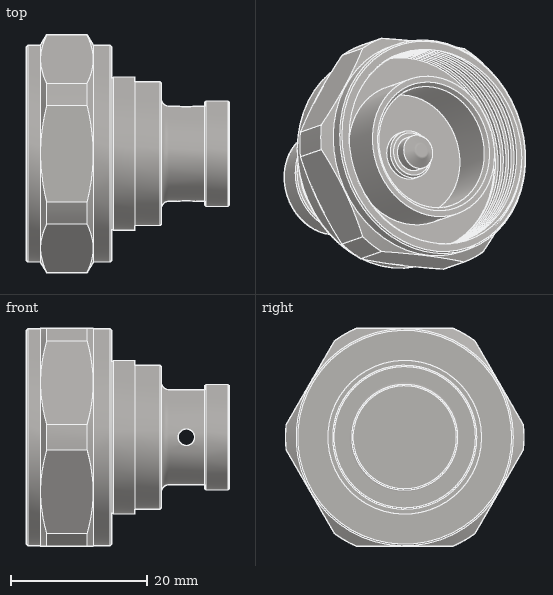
import cadquery as cq
import math


flange_radius = 15.93
flange_length = 12.57
flange_chamfer = 0.25
hex_flats = 32.0
hex_corner_radius = 17.5
hex_start = 2.05
hex_end = 9.87
hex_chamfer_length = 0.95

first_step_radius = 11.27
first_step_end = 15.93
second_step_radius = 10.57
second_step_end = 19.85
neck_radius = 7.0
neck_end = 26.2
neck_cove_radius = 1.05
collar_radius = 7.77
total_length = 29.8
edge_chamfer = 0.2

hole_x = 23.5
hole_radius = 1.2

socket_radius = 14.45
socket_depth = 6.75
thread_pitch = 1.5
thread_angle = 60
thread_depth = 0.65
thread_crest_overlap = 0.1
thread_start = -0.5 * thread_pitch
thread_turns = 6
thread_phase = 90
plug_radius = 15.25
sleeve_radius = 10.47
sleeve_bore_radius = 9.05
sleeve_bore_depth = 7.5
sleeve_chamfer = 0.55
pin_base_radius = 3.5
pin_base_start = 6.13
pin_base_chamfer = 0.35
pin_radius = 2.5
pin_tip_start = 3.25
pin_tip_radius = 1.1
pin_tip_round = 0.5
pin_cone_end = 4.35


def disc(radius, start, end):
    """Cylinder on the X axis between two axial positions."""
    return cq.Workplane("YZ", origin=(start, 0, 0)).circle(radius).extrude(end - start)


def revolve_profile(points):
    """Solid of revolution about X from (x, radius) points."""
    return cq.Workplane("XY").polyline(points).close().revolve(360, (0, 0, 0), (1, 0, 0))


def make_hex():
    """Hexagonal grip with flats on +Z and -Z and conically trimmed corners."""
    prism = (
        cq.Workplane("YZ", origin=(hex_start, 0, 0))
        .polygon(6, hex_flats / math.cos(math.pi / 6))
        .extrude(hex_end - hex_start)
    )
    envelope = revolve_profile([
        (hex_start, 0),
        (hex_start, flange_radius),
        (hex_start + hex_chamfer_length, hex_corner_radius),
        (hex_end - hex_chamfer_length, hex_corner_radius),
        (hex_end, flange_radius),
        (hex_end, 0),
    ])
    return prism.intersect(envelope)


def make_rear_body():
    """Two steps, a neck with a concave root and an end collar."""
    first_step = disc(first_step_radius, flange_length, first_step_end).edges("<X").chamfer(edge_chamfer)
    second_step = disc(second_step_radius, first_step_end, second_step_end).edges(">X").chamfer(edge_chamfer)
    cove_centre_radius = neck_radius + neck_cove_radius
    arc_offset = neck_cove_radius * math.sqrt(0.5)
    neck_root_end = second_step_end + neck_cove_radius
    neck = (
        cq.Workplane("XY")
        .moveTo(second_step_end, 0)
        .lineTo(second_step_end, cove_centre_radius)
        .threePointArc(
            (neck_root_end - arc_offset, cove_centre_radius - arc_offset),
            (neck_root_end, neck_radius),
        )
        .lineTo(neck_end, neck_radius)
        .lineTo(neck_end, 0)
        .close()
        .revolve(360, (0, 0, 0), (1, 0, 0))
    )
    collar = disc(collar_radius, neck_end, total_length).edges().chamfer(edge_chamfer)
    return first_step.union(second_step).union(neck).union(collar)


def make_neck_hole():
    """Hole across the neck along Y."""
    return (
        cq.Workplane("XZ", origin=(hole_x, 0, 0))
        .circle(hole_radius)
        .extrude(collar_radius, both=True)
    )


def make_thread():
    """V-shaped helical groove in the socket wall, running along X."""
    inner = socket_radius - thread_crest_overlap
    outer = socket_radius + thread_depth
    half_width = (thread_depth + thread_crest_overlap) * math.tan(math.radians(thread_angle / 2))
    path = cq.Wire.makeHelix(thread_pitch, thread_turns * thread_pitch, inner)
    groove = (
        cq.Workplane("XZ")
        .polyline([(inner, -half_width), (outer, 0), (inner, half_width)])
        .close()
        .sweep(cq.Workplane(path), isFrenet=True)
    )
    return (
        groove.rotate((0, 0, 0), (0, 0, 1), thread_phase)
        .rotate((0, 0, 0), (0, 1, 0), 90)
        .translate((thread_start, 0, 0))
    )


def make_sleeve_bore():
    """Bore of the contact sleeve with its chamfered mouth."""
    bore = disc(sleeve_bore_radius, 0, sleeve_bore_depth)
    mouth = revolve_profile([
        (0, 0),
        (0, sleeve_bore_radius + sleeve_chamfer),
        (sleeve_chamfer, sleeve_bore_radius),
        (sleeve_chamfer, 0),
    ])
    return bore.union(mouth)


def make_pin():
    """Centre pin with a rounded conical tip and a chamfered base."""
    tip = revolve_profile([
        (pin_tip_start, 0),
        (pin_tip_start, pin_tip_radius),
        (pin_cone_end, pin_radius),
        (sleeve_bore_depth, pin_radius),
        (sleeve_bore_depth, 0),
    ]).faces("<X").edges().fillet(pin_tip_round)
    base = disc(pin_base_radius, pin_base_start, sleeve_bore_depth).faces("<X").chamfer(pin_base_chamfer)
    return tip.union(base)


flange = disc(flange_radius, 0, flange_length).edges().chamfer(flange_chamfer)
nut = flange.union(make_hex()).cut(disc(socket_radius, 0, flange_length)).cut(make_thread())

socket_plug = disc(plug_radius, socket_depth, flange_length)

result = (
    nut.union(socket_plug)
    .union(make_rear_body())
    .union(disc(sleeve_radius, 0, socket_depth))
    .cut(make_sleeve_bore())
    .union(make_pin())
    .cut(make_neck_hole())
)